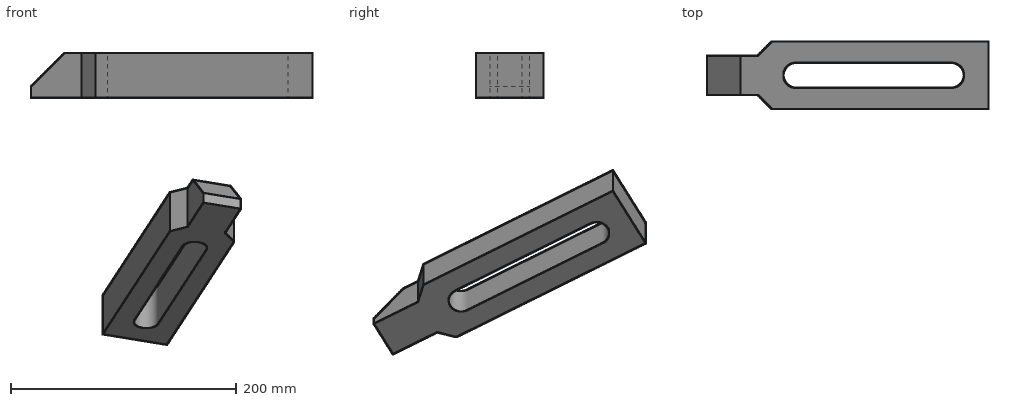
import cadquery as cq

length = 250.0
width = 60.0
height = 40.0

nose_width = 35.0
nose_length = 45.0
shoulder_length = (width - nose_width) / 2
tip_height = 10.0
bevel_length = 30.0

slot_length = 160.0
slot_width = 22.0
slot_end_wall = 22.0


def strap_body():
    """Flat bar whose -X end narrows to the nose."""
    body_start = nose_length + shoulder_length
    return (
        cq.Workplane("XY")
        .moveTo(0, -nose_width / 2)
        .lineTo(nose_length, -nose_width / 2)
        .lineTo(body_start, -width / 2)
        .lineTo(length, -width / 2)
        .lineTo(length, width / 2)
        .lineTo(body_start, width / 2)
        .lineTo(nose_length, nose_width / 2)
        .lineTo(0, nose_width / 2)
        .close()
        .extrude(height)
    )


def nose_bevel():
    """Wedge removed from the top of the nose."""
    return (
        cq.Workplane("XZ")
        .moveTo(0, tip_height)
        .lineTo(bevel_length, height)
        .lineTo(0, height)
        .close()
        .extrude(nose_width / 2, both=True)
    )


def bolt_slot():
    """Round-ended slot through the full height."""
    slot_center_x = length - slot_end_wall - slot_length / 2
    return (
        cq.Workplane("XY")
        .center(slot_center_x, 0)
        .slot2D(slot_length, slot_width)
        .extrude(height)
    )


result = strap_body().cut(nose_bevel()).cut(bolt_slot())